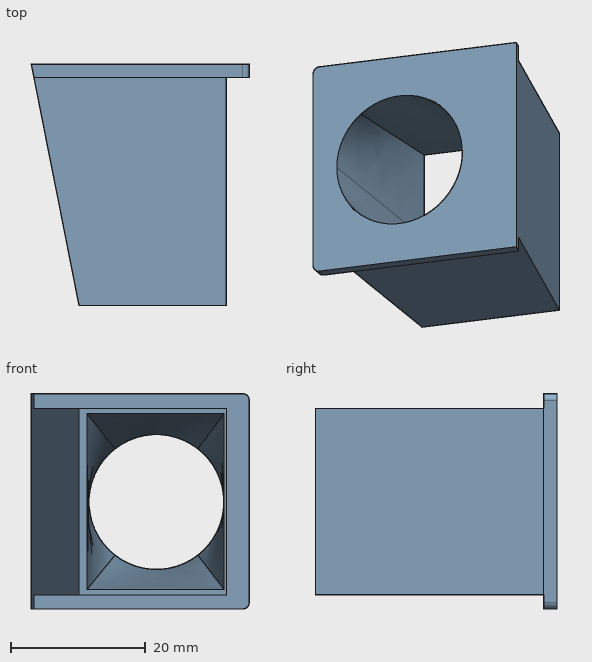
import cadquery as cq

length = 35.86
flange_width = 32.4
flange_height = 32.0
flange_thickness = 2.0
flange_corner_radius = 1.0

slant_run = 7.1
body_right = 29.0
body_bottom = 2.1
body_top = 29.8

mouth_left = 8.3
mouth_right = 28.65
mouth_bottom = 2.9
mouth_top = 29.0

outlet_diameter = 20.0
outlet_x = 18.6
outlet_z = 15.9


def slant_x(y):
    """X of the slanted side at depth y, measured from the mouth plane."""
    return slant_run * (1 - y / length)


def make_prism(outline, bottom, top):
    """Extrude an outline in the XY plane between two heights."""
    return cq.Workplane("XY").workplane(offset=bottom).polyline(outline).close().extrude(top - bottom)


def make_body():
    outline = [
        (slant_x(0), 0),
        (body_right, 0),
        (body_right, length),
        (slant_x(length), length),
    ]
    return make_prism(outline, body_bottom, body_top)


def make_flange():
    inner_face_y = length - flange_thickness
    outline = [
        (slant_x(inner_face_y), inner_face_y),
        (flange_width, inner_face_y),
        (flange_width, length),
        (slant_x(length), length),
    ]
    flange = make_prism(outline, bottom=0, top=flange_height)
    return flange.faces(">X").edges("|Y").fillet(flange_corner_radius)


def make_funnel():
    """Passage that blends from the rectangular mouth to the round outlet."""
    mouth_width = mouth_right - mouth_left
    mouth_height = mouth_top - mouth_bottom
    mouth_x = (mouth_left + mouth_right) / 2
    mouth_z = (mouth_bottom + mouth_top) / 2
    return (
        cq.Workplane("XZ")
        .center(mouth_x, mouth_z)
        .rect(mouth_width, mouth_height)
        .workplane(offset=-length)
        .center(outlet_x - mouth_x, outlet_z - mouth_z)
        .circle(outlet_diameter / 2)
        .loft()
    )


result = make_body().union(make_flange()).cut(make_funnel())